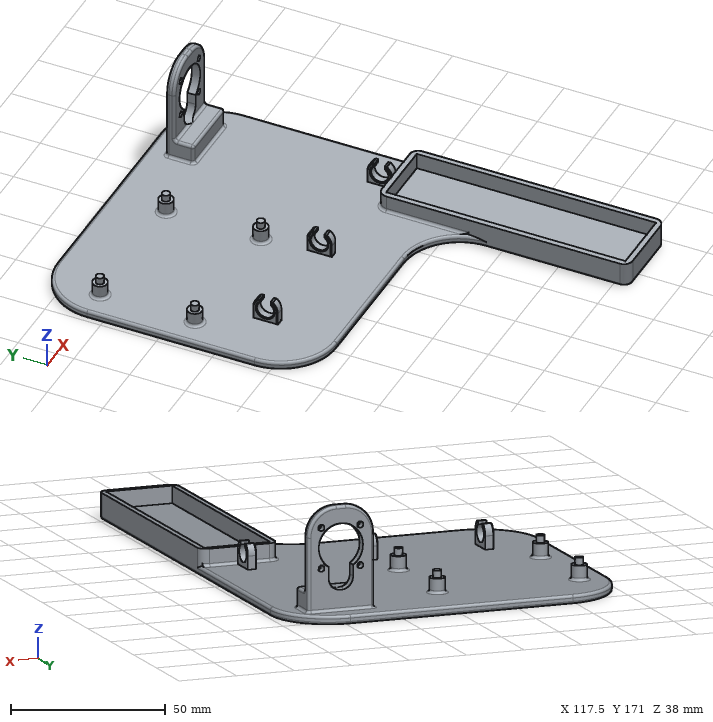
import cadquery as cq
import math


TOTAL_LENGTH = 171.0
PLATE_WIDTH = 117.5
PLATE_LENGTH = 100.0
PLATE_THICKNESS = 3.0
PLATE_CORNER = 20.0
ROUNDING = 1.0
PLATE_FRONT = TOTAL_LENGTH - PLATE_LENGTH

TRAY_WIDTH = 27.0
TRAY_LENGTH = 90.0
TRAY_TOP = 8.9
TRAY_WALL = 2.0
TRAY_CORNER = 3.0
TRAY_LEFT = PLATE_WIDTH - TRAY_WIDTH

POST_RADIUS = 2.5
POST_TOP = 8.0
PIN_RADIUS = 1.4
PIN_TOP = 10.5
POST_X = (10.0, 59.3)
POST_Y = (117.0, 151.0)

BRACKET_WIDTH = 23.0
BRACKET_TOP = 38.0
BRACKET_CORNER = 10.0
BRACKET_CENTER_X = 98.0
BRACKET_BACK = 164.0
UPRIGHT_THICKNESS = 3.0
STEP_DEPTH = 10.0
STEP_TOP = 10.0
BORE_RADIUS = 7.7
BORE_HEIGHT = 24.3
SLOT_RADIUS = 4.3
SCREW_RADIUS = 1.0
SCREW_SPACING = 13.5

CLIP_THICKNESS = 3.0
CLIP_RADIUS = 4.5
CLIP_BORE_RADIUS = 3.0
CLIP_AXIS_HEIGHT = 4.6
CLIP_HEIGHT = 8.2
CLIP_GAP = 3.6
CLIP_BEVEL = 0.3
CLIP_PLACES = ((21.2, 96.5), (61.5, 96.5), (103.1, 94.7))


def block(x_min, x_max, y_min, y_max, z_min, z_max):
    size = (x_max - x_min, y_max - y_min, z_max - z_min)
    return cq.Workplane("XY").box(*size, centered=False).translate((x_min, y_min, z_min))


def add_corner(path, center_x, center_y, radius, start_angle, turn):
    """Line to the start of a quarter arc, then the arc; turn is 1 for left and -1 for right."""
    points = []
    for angle in (start_angle, start_angle + turn * 45, start_angle + turn * 90):
        radians = math.radians(angle)
        points.append((center_x + radius * math.cos(radians), center_y + radius * math.sin(radians)))
    start, middle, end = points
    return path.lineTo(*start).threePointArc(middle, end)


def plate_outline():
    """Rounded square with an arm running forward along its right side."""
    big = PLATE_CORNER
    small = TRAY_CORNER
    path = cq.Workplane("XY").moveTo(PLATE_WIDTH, TOTAL_LENGTH / 2)
    path = add_corner(path, PLATE_WIDTH - big, TOTAL_LENGTH - big, big, 0, 1)
    path = add_corner(path, big, TOTAL_LENGTH - big, big, 90, 1)
    path = add_corner(path, big, PLATE_FRONT + big, big, 180, 1)
    path = add_corner(path, TRAY_LEFT - big, PLATE_FRONT - big, big, 90, -1)
    path = add_corner(path, TRAY_LEFT + small, small, small, 180, 1)
    path = add_corner(path, PLATE_WIDTH - small, small, small, 270, 1)
    return path.close()


def make_foot(center_x, center_y, width, depth, corner):
    """Concave fillet around a rounded rectangular footprint standing on the plate."""
    plane = cq.Workplane("XY", origin=(center_x, center_y, PLATE_THICKNESS))
    slab = plane.rect(2 * width, 2 * depth).extrude(-ROUNDING)
    column = plane.rect(width, depth).extrude(2 * ROUNDING).edges("|Z").fillet(corner)
    above_plate = plane.rect(2 * width, 2 * depth).extrude(ROUNDING)
    reach_x = 0.9 * width
    reach_y = 0.9 * depth
    reach_z = ROUNDING / 2
    junction = cq.selectors.BoxSelector(
        (center_x - reach_x, center_y - reach_y, PLATE_THICKNESS - reach_z),
        (center_x + reach_x, center_y + reach_y, PLATE_THICKNESS + reach_z),
    )
    return slab.union(column).edges(junction).fillet(ROUNDING).intersect(above_plate)


def make_plate():
    return plate_outline().extrude(PLATE_THICKNESS).faces("<Z or >Z").edges().fillet(ROUNDING)


def make_tray_walls():
    """Solid tray block with its foot; the foot stays on the flat top of the plate."""
    walls = (
        block(TRAY_LEFT, PLATE_WIDTH, 0, TRAY_LENGTH, ROUNDING, TRAY_TOP)
        .edges("|Z")
        .fillet(TRAY_CORNER)
    )
    center_x = TRAY_LEFT + TRAY_WIDTH / 2
    foot = make_foot(center_x, TRAY_LENGTH / 2, TRAY_WIDTH, TRAY_LENGTH, TRAY_CORNER)
    flat_top = plate_outline().offset2D(-ROUNDING).extrude(TRAY_TOP)
    return walls.union(foot.intersect(flat_top))


def make_tray_pocket():
    return block(
        TRAY_LEFT + TRAY_WALL,
        PLATE_WIDTH - TRAY_WALL,
        TRAY_WALL,
        TRAY_LENGTH - TRAY_WALL,
        PLATE_THICKNESS,
        TRAY_TOP,
    )


def make_post(x, y):
    """Standoff with a filleted foot and a locating pin, as one turned profile."""
    return (
        cq.Workplane("XZ")
        .moveTo(0, PLATE_THICKNESS)
        .lineTo(POST_RADIUS + ROUNDING, PLATE_THICKNESS)
        .radiusArc((POST_RADIUS, PLATE_THICKNESS + ROUNDING), ROUNDING)
        .lineTo(POST_RADIUS, POST_TOP)
        .lineTo(PIN_RADIUS, POST_TOP)
        .lineTo(PIN_RADIUS, PIN_TOP)
        .lineTo(0, PIN_TOP)
        .close()
        .revolve(360, (0, 0), (0, 1))
        .translate((x, y, 0))
    )


def make_bracket_openings():
    """Keyhole (bore and round-ended slot) and four screw holes, all along Y."""
    face = cq.Workplane("XZ", origin=(BRACKET_CENTER_X, BRACKET_BACK, BORE_HEIGHT))
    slot_drop = BORE_HEIGHT - STEP_TOP - SLOT_RADIUS
    bore = face.circle(BORE_RADIUS).extrude(STEP_DEPTH)
    slot_end = face.center(0, -slot_drop).circle(SLOT_RADIUS).extrude(STEP_DEPTH)
    slot = face.center(0, -slot_drop / 2).rect(2 * SLOT_RADIUS, slot_drop).extrude(STEP_DEPTH)
    screw_holes = (
        face.rect(SCREW_SPACING, SCREW_SPACING, forConstruction=True)
        .vertices()
        .circle(SCREW_RADIUS)
        .extrude(STEP_DEPTH)
    )
    return bore.union(slot_end).union(slot).union(screw_holes)


def make_bracket():
    left = BRACKET_CENTER_X - BRACKET_WIDTH / 2
    right = BRACKET_CENTER_X + BRACKET_WIDTH / 2
    front = BRACKET_BACK - STEP_DEPTH
    upright = (
        block(left, right, BRACKET_BACK - UPRIGHT_THICKNESS, BRACKET_BACK, 0, BRACKET_TOP)
        .edges("|Y and >Z")
        .fillet(BRACKET_CORNER)
    )
    step = block(left, right, front, BRACKET_BACK, 0, STEP_TOP)
    body = upright.union(step).edges("not <Z").fillet(ROUNDING)
    above_plate = block(left, right, front, BRACKET_BACK, PLATE_THICKNESS, BRACKET_TOP)
    center_y = BRACKET_BACK - STEP_DEPTH / 2
    foot = make_foot(BRACKET_CENTER_X, center_y, BRACKET_WIDTH, STEP_DEPTH, ROUNDING)
    return body.intersect(above_plate).union(foot).cut(make_bracket_openings())


def make_base():
    base = make_plate().union(make_tray_walls()).cut(make_tray_pocket()).union(make_bracket())
    for x in POST_X:
        for y in POST_Y:
            base = base.union(make_post(x, y))
    return base


def make_clip(x, y):
    """C-shaped spring clip with its mouth upward; the rim of its -X face is bevelled."""
    axis = CLIP_AXIS_HEIGHT
    tip_outer = math.sqrt(CLIP_RADIUS**2 - (CLIP_HEIGHT - axis) ** 2)
    shoulder_angle = math.acos(tip_outer / CLIP_RADIUS) / 2
    shoulder_y = CLIP_RADIUS * math.cos(shoulder_angle)
    shoulder_z = axis + CLIP_RADIUS * math.sin(shoulder_angle)
    lip = CLIP_GAP / 2
    lip_height = axis + math.sqrt(CLIP_BORE_RADIUS**2 - lip**2)
    profile = (
        cq.Workplane("YZ")
        .moveTo(-CLIP_RADIUS, 0)
        .lineTo(CLIP_RADIUS, 0)
        .lineTo(CLIP_RADIUS, axis)
        .threePointArc((shoulder_y, shoulder_z), (tip_outer, CLIP_HEIGHT))
        .lineTo(lip, CLIP_HEIGHT)
        .lineTo(lip, lip_height)
        .threePointArc((0, axis - CLIP_BORE_RADIUS), (-lip, lip_height))
        .lineTo(-lip, CLIP_HEIGHT)
        .lineTo(-tip_outer, CLIP_HEIGHT)
        .threePointArc((-shoulder_y, shoulder_z), (-CLIP_RADIUS, axis))
        .close()
    )
    clip = profile.extrude(CLIP_THICKNESS).faces("<X").edges().chamfer(CLIP_BEVEL)
    return clip.translate((x - CLIP_THICKNESS / 2, y, PLATE_THICKNESS))


base = make_base()
clips = [make_clip(x, y).cut(base) for x, y in CLIP_PLACES]
result = cq.Compound.makeCompound([base.val(), *[clip.val() for clip in clips]])